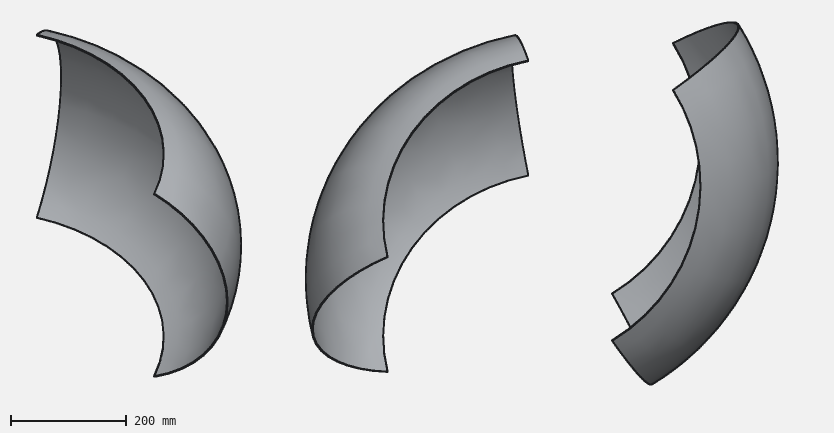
import cadquery as cq
import math

outer_radius = 455.5
height = 431.5
edge_radius = 321.5
wall = 2.0
sweep_angle = 90

half_height = height / 2
bulge = outer_radius - edge_radius
arc_radius = (half_height**2 + bulge**2) / (2 * bulge)
arc_center = outer_radius - arc_radius

inner_arc_radius = arc_radius - wall
end_angle = math.asin(half_height / arc_radius)
inner_edge_radius = arc_center + inner_arc_radius * math.cos(end_angle)
inner_half_height = inner_arc_radius * math.sin(end_angle)

section = (
    cq.Workplane("XZ")
    .moveTo(edge_radius, -half_height)
    .threePointArc((outer_radius, 0), (edge_radius, half_height))
    .lineTo(inner_edge_radius, inner_half_height)
    .threePointArc((outer_radius - wall, 0), (inner_edge_radius, -inner_half_height))
    .close()
)

result = section.revolve(sweep_angle, (0, 0), (0, 1))